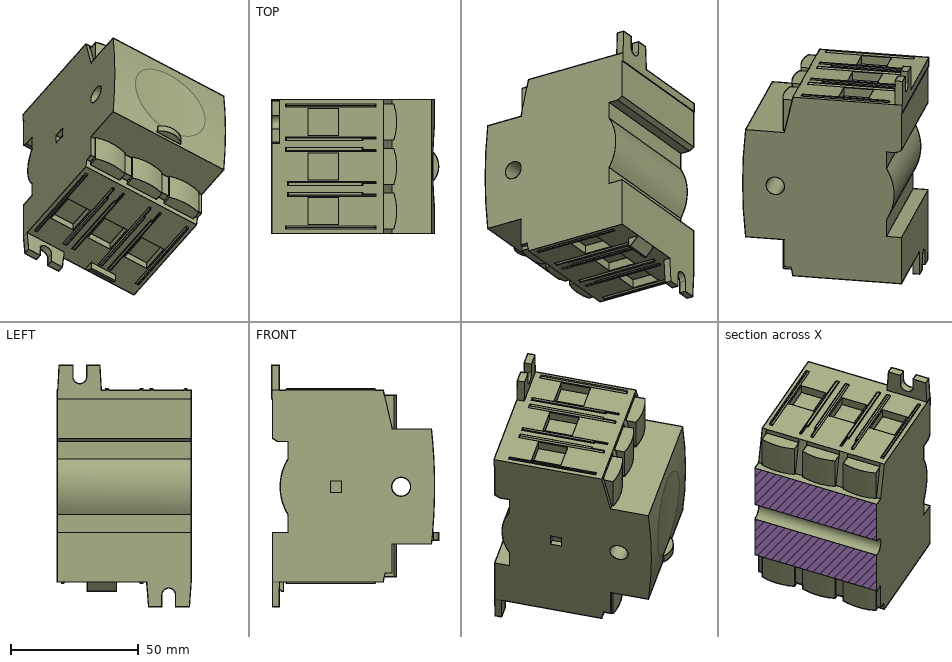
import cadquery as cq
import math


width = 52.5
half_width = width / 2
body_top = 37.85
body_bottom = -37.3
back_x = 0.3
shoulder_x = 43.7
step_x = 47.2
nose_top = 22.7
nose_bottom = -22.4
nose_edge_x = 62.6
nose_crown_x = 63.8
lower_ledge_z = -33.7
lower_ledge_x = 44.4

recess_x = 6.3
recess_top = 17.7
recess_bottom = -17.8
recess_lead_in_x = 2.3
recess_lead_in_z = 18.9
saddle_crown_x = 3.25
saddle_half_height = 10.8

strip_bottom = 34.3
tab_front_x = 3.0
tab_top = 47.6
tab_bottom = -47.0
tab_root_width = 17.55
tab_outer_taper = 0.7
tab_inner_taper = 0.8
slot_center_y = 17.4
slot_width = 5.3
upper_slot_end = 40.4
lower_slot_end = -39.7

latch_y_min = 3.0
latch_y_max = 14.5
latch_front_x = 4.7
latch_bottom = -40.9

pole_pitch = 17.45
pole_centers = [-pole_pitch, 0, pole_pitch]
cover_width = 14.0
cover_root_x = 40.0
cover_side_x = 47.85
cover_crown_x = 48.95
cover_top = 35.9
cover_bottom = -35.3
pocket_width = 10.5
pocket_x_min = 14.3
pocket_x_max = 26.2
pocket_depth = 3.5

rib_height = 0.6
rib_end_slope = 0.4
rib_side_slope = 0.55
rib_start_x = 5.5
rib_short_start_x = 6.2
rib_wide_end_x = 35.8
rib_end_x = 40.8
rib_inner_offset = 5.8
rib_narrow = 0.9
rib_outermost = 1.25
rib_wide = 1.55

pivot_x = 50.7
pivot_diameter = 7.3
scoop_half_width = 16.5
scoop_floor_x = 63.1
knob_top = -17.8
knob_bottom = -21.0
knob_half_width = 5.5
knob_root_x = 58.0
knob_side_x = 63.35
knob_crown_x = 65.44

socket_size = 4.35
socket_x = 25.2
socket_depth = 2.25


def box(x_min, x_max, y_min, y_max, z_min, z_max):
    """Axis-aligned block given by its limits."""
    size = (x_max - x_min, y_max - y_min, z_max - z_min)
    return cq.Workplane("XY").box(*size, centered=False).translate((x_min, y_min, z_min))


def extrude_across(profile, y_min, y_max):
    """Extrude a profile drawn on the XZ plane from y_min to y_max."""
    return profile.extrude(y_min - y_max).translate((0, y_min, 0))


def make_housing():
    profile = (
        cq.Workplane("XZ")
        .moveTo(0, body_top)
        .lineTo(shoulder_x, body_top)
        .lineTo(step_x, nose_top)
        .lineTo(nose_edge_x, nose_top)
        .threePointArc((nose_crown_x, (nose_top + nose_bottom) / 2), (nose_edge_x, nose_bottom))
        .lineTo(step_x, nose_bottom)
        .lineTo(step_x, lower_ledge_z)
        .lineTo(lower_ledge_x, lower_ledge_z)
        .lineTo(shoulder_x, body_bottom)
        .lineTo(back_x, body_bottom)
        .lineTo(back_x, recess_bottom)
        .lineTo(recess_x, recess_bottom)
        .lineTo(recess_x, -saddle_half_height)
        .threePointArc((saddle_crown_x, 0), (recess_x, saddle_half_height))
        .lineTo(recess_x, recess_top)
        .lineTo(recess_lead_in_x, recess_top)
        .lineTo(back_x, recess_lead_in_z)
        .lineTo(back_x, strip_bottom)
        .lineTo(0, strip_bottom)
        .close()
    )
    return extrude_across(profile, -half_width, half_width)


def make_tab(side, rear_x, root_z, tip_z, slot_end_z):
    """Tapered plate with an open-ended slot, on the +Y (side=1) or -Y (side=-1) edge."""
    inner_y = half_width - tab_root_width
    plate = (
        cq.Workplane("YZ")
        .polyline([
            (side * inner_y, root_z),
            (side * half_width, root_z),
            (side * (half_width - tab_outer_taper), tip_z),
            (side * (inner_y + tab_inner_taper), tip_z),
        ])
        .close()
        .extrude(tab_front_x - rear_x)
        .translate((rear_x, 0, 0))
    )
    radius = slot_width / 2
    round_z = slot_end_z + math.copysign(radius, tip_z)
    slot_round = (
        cq.Workplane("YZ")
        .center(side * slot_center_y, round_z)
        .circle(radius)
        .extrude(tab_front_x)
    )
    slot_y = side * slot_center_y
    slot_mouth = box(
        0, tab_front_x, slot_y - radius, slot_y + radius, min(round_z, tip_z), max(round_z, tip_z)
    )
    return plate.cut(slot_round).cut(slot_mouth)


def make_latch():
    """Hook with a 45 degree ramp rising to the rear."""
    ramp_height = body_bottom - latch_bottom
    profile = (
        cq.Workplane("XZ")
        .polyline([
            (back_x, body_bottom),
            (latch_front_x, body_bottom),
            (latch_front_x, latch_bottom),
            (back_x + ramp_height, latch_bottom),
        ])
        .close()
    )
    return extrude_across(profile, latch_y_min, latch_y_max)


def make_cover(pole_y, z_min, z_max):
    """Terminal cover with a bowed front."""
    half = cover_width / 2
    return (
        cq.Workplane("XY")
        .moveTo(cover_root_x, pole_y - half)
        .lineTo(cover_side_x, pole_y - half)
        .threePointArc((cover_crown_x, pole_y), (cover_side_x, pole_y + half))
        .lineTo(cover_root_x, pole_y + half)
        .close()
        .extrude(z_max - z_min)
        .translate((0, 0, z_min))
    )


def make_cover_seat(pole_y):
    """Notch that squares off the sloped upper wall above a cover."""
    half = cover_width / 2
    return box(shoulder_x, step_x, pole_y - half, pole_y + half, cover_top, body_top)


def make_rib_bar(start_x, end_x, foot_y, side, bar_width, base_z, up):
    """Low bar on base_z with sloped ends and a leaning flank on its pocket side.

    side is the Y direction from the pocket to the bar; up is +1 or -1.
    """
    crest_z = base_z + up * rib_height
    back_y = foot_y + side * bar_width
    cross_section = (
        cq.Workplane("YZ")
        .polyline([
            (foot_y, base_z),
            (back_y, base_z),
            (back_y, crest_z),
            (foot_y + side * rib_side_slope, crest_z),
        ])
        .close()
        .extrude(end_x - start_x)
        .translate((start_x, 0, 0))
    )
    end_profile = (
        cq.Workplane("XZ")
        .polyline([
            (start_x, base_z),
            (end_x, base_z),
            (end_x - rib_end_slope, crest_z),
            (start_x + rib_end_slope, crest_z),
        ])
        .close()
    )
    return cross_section.intersect(extrude_across(end_profile, -half_width, half_width))


def make_rib(pole_y, side, base_z, up):
    """Guide rib beside a pole; ribs between two poles narrow towards the front."""
    foot_y = pole_y + side * rib_inner_offset
    is_outermost = pole_y * side > 0
    if is_outermost:
        return make_rib_bar(rib_start_x, rib_end_x, foot_y, side, rib_outermost, base_z, up)
    start_x = rib_short_start_x if foot_y < 0 else rib_start_x
    narrow_bar = make_rib_bar(start_x, rib_end_x, foot_y, side, rib_narrow, base_z, up)
    wide_bar = make_rib_bar(start_x, rib_wide_end_x, foot_y, side, rib_wide, base_z, up)
    return narrow_bar.union(wide_bar)


def make_pocket(pole_y, z_min, z_max):
    half = pocket_width / 2
    return box(pocket_x_min, pocket_x_max, pole_y - half, pole_y + half, z_min, z_max)


def make_scoop():
    """Shallow concave cut, with a vertical axis, across the crown of the nose."""
    return (
        cq.Workplane("XY")
        .moveTo(nose_crown_x, -scoop_half_width)
        .threePointArc((scoop_floor_x, 0), (nose_crown_x, scoop_half_width))
        .close()
        .extrude(nose_top - nose_bottom)
        .translate((0, 0, nose_bottom))
    )


def make_knob():
    return (
        cq.Workplane("XY")
        .moveTo(knob_root_x, -knob_half_width)
        .lineTo(knob_side_x, -knob_half_width)
        .threePointArc((knob_crown_x, 0), (knob_side_x, knob_half_width))
        .lineTo(knob_root_x, knob_half_width)
        .close()
        .extrude(knob_top - knob_bottom)
        .translate((0, 0, knob_bottom))
    )


def make_pivot_hole():
    profile = cq.Workplane("XZ").center(pivot_x, 0).circle(pivot_diameter / 2)
    return extrude_across(profile, -half_width, half_width)


def make_socket():
    profile = cq.Workplane("XZ").center(socket_x, 0).rect(socket_size, socket_size)
    return extrude_across(profile, -half_width, socket_depth - half_width)


result = make_housing().cut(make_scoop())
result = result.union(make_tab(1, 0, strip_bottom, tab_top, upper_slot_end))
result = result.union(make_tab(-1, back_x, body_bottom, tab_bottom, lower_slot_end))
result = result.union(make_latch()).union(make_knob())

for pole_y in pole_centers:
    result = result.cut(make_cover_seat(pole_y))
    result = result.union(make_cover(pole_y, nose_top, cover_top))
    result = result.union(make_cover(pole_y, cover_bottom, nose_bottom))
    for side in (-1, 1):
        result = result.union(make_rib(pole_y, side, body_top, 1))
        result = result.union(make_rib(pole_y, side, body_bottom, -1))
    result = result.cut(make_pocket(pole_y, body_top - pocket_depth, body_top))
    result = result.cut(make_pocket(pole_y, body_bottom, body_bottom + pocket_depth))

result = result.cut(make_pivot_hole()).cut(make_socket())